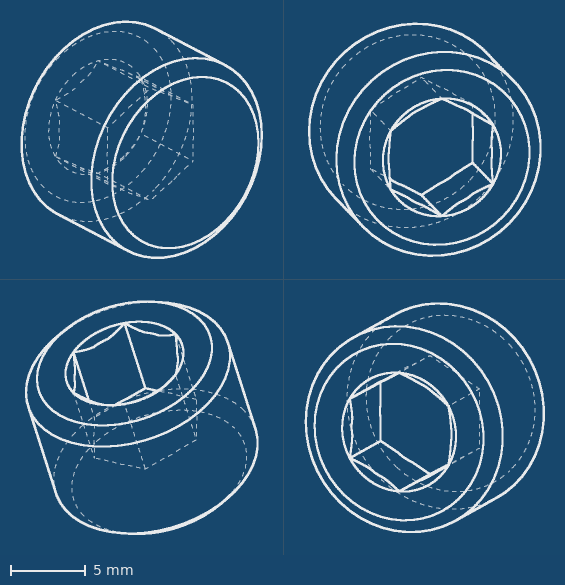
import cadquery as cq
import math

outer_diameter = 14.0
length = outer_diameter * 5 / 7
edge_chamfer = length / 10

across_flats = outer_diameter / 2
across_corners = across_flats / math.cos(math.pi / 6)
socket_depth = 0.6 * length
mouth_diameter = 8.09
mouth_half_angle = math.radians(45)

pilot_diameter = 7.1
drill_half_angle = math.radians(75)


def make_body():
    """Cylinder along X, centred on the origin, chamfered at both ends."""
    cylinder = cq.Workplane("YZ", origin=(-length / 2, 0, 0)).circle(outer_diameter / 2).extrude(length)
    return cylinder.faces("<X or >X").chamfer(edge_chamfer)


def turned_cut(profile):
    """Revolve (depth, radius) points about X, with depth measured from the -X end."""
    points = [(depth - length / 2, radius) for depth, radius in profile]
    return cq.Workplane("XZ").polyline(points).close().revolve(360, (0, 0, 0), (1, 0, 0))


def make_hexagon():
    """Hexagonal prism with corners up and down along Z."""
    return (
        cq.Workplane("YZ", origin=(-length / 2, 0, 0))
        .transformed(rotate=(0, 0, 90))
        .polygon(6, across_corners)
        .extrude(socket_depth)
    )


def make_pilot_hole():
    radius = pilot_diameter / 2
    tip_depth = socket_depth + radius / math.tan(drill_half_angle)
    return turned_cut([(0, 0), (0, radius), (socket_depth, radius), (tip_depth, 0)])


def make_mouth():
    """Conical lead-in that bevels the socket opening."""
    radius = mouth_diameter / 2
    return turned_cut([(0, 0), (0, radius), (radius / math.tan(mouth_half_angle), 0)])


result = make_body().cut(make_hexagon()).cut(make_pilot_hole()).cut(make_mouth())